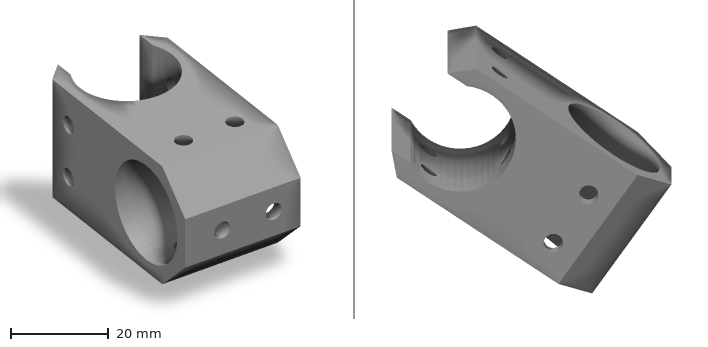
import cadquery as cq

LENGTH = 52.9
SIDE = 28.55
JAW_BEVEL = 4.2
END_BEVEL = 8.4

BORE_DIAMETER = 22.85
OPEN_BORE_X = -16.35
CLOSED_BORE_X = LENGTH / 2 - SIDE / 2
MOUTH_WIDTH = SIDE - 2 * JAW_BEVEL

HOLE_DIAMETER = 3.95
HOLE_SPACING = 12.7
HOLE_REACH = SIDE / 2
CLOSED_PAIR_Y = 1.25
OPEN_PAIR_Z = 0.0


def pair(middle):
    """Positions of two holes spaced evenly about a middle position."""
    return [middle - HOLE_SPACING / 2, middle + HOLE_SPACING / 2]


def make_block():
    block = cq.Workplane("XY").box(LENGTH, SIDE, SIDE)
    block = block.edges("<X and |Z").chamfer(JAW_BEVEL)
    return block.edges(">X and |Y").chamfer(END_BEVEL)


def rod(diameter, start, direction, length):
    """Cylinder running from a start point along a direction."""
    return cq.Workplane(
        cq.Solid.makeCylinder(diameter / 2, length, cq.Vector(*start), cq.Vector(*direction))
    )


def cut_bores(body):
    bottom = -SIDE / 2
    body = body.cut(rod(BORE_DIAMETER, (OPEN_BORE_X, 0, bottom), (0, 0, 1), SIDE))
    body = body.cut(rod(BORE_DIAMETER, (CLOSED_BORE_X, bottom, 0), (0, 1, 0), SIDE))
    mouth_depth = OPEN_BORE_X + LENGTH / 2
    mouth = cq.Workplane("XY").box(mouth_depth, MOUTH_WIDTH, SIDE, centered=(False, True, True))
    return body.cut(mouth.translate((-LENGTH / 2, 0, 0)))


def cut_open_bore_holes(body):
    """Holes through both jaws and blind into the wall between the bores."""
    for z in pair(OPEN_PAIR_Z):
        body = body.cut(rod(HOLE_DIAMETER, (OPEN_BORE_X, -SIDE / 2, z), (0, 1, 0), SIDE))
        body = body.cut(rod(HOLE_DIAMETER, (OPEN_BORE_X, 0, z), (1, 0, 0), HOLE_REACH))
    return body


def cut_closed_bore_holes(body):
    """Holes through top and bottom and through the end wall."""
    for y in pair(CLOSED_PAIR_Y):
        body = body.cut(rod(HOLE_DIAMETER, (CLOSED_BORE_X, y, -SIDE / 2), (0, 0, 1), SIDE))
        body = body.cut(rod(HOLE_DIAMETER, (CLOSED_BORE_X, y, 0), (1, 0, 0), HOLE_REACH))
    return body


result = cut_closed_bore_holes(cut_open_bore_holes(cut_bores(make_block())))